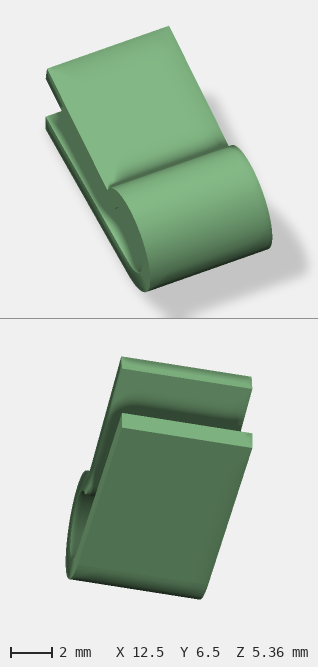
import cadquery as cq
import math

length = 12.47
width = 6.5
thickness = 1.0
loop_outer_radius = 2.68
bend_inner_radius = 0.05
arm_slope = 9.5
bend_position = 25.0

loop_inner_radius = loop_outer_radius - thickness
bend_outer_radius = bend_inner_radius + thickness
loop_center = (length - loop_outer_radius, loop_outer_radius)


def polar(center, radius, angle):
    """Point at a radius and an angle in degrees from a center."""
    turn = math.radians(angle)
    return (center[0] + radius * math.cos(turn), center[1] + radius * math.sin(turn))


loop_end_angle = 180 - bend_position
bend_center = polar(loop_center, loop_outer_radius + bend_inner_radius, loop_end_angle)
bend_loop_angle = -bend_position
bend_arm_angle = -90 - arm_slope
bend_middle_angle = (bend_loop_angle + bend_arm_angle) / 2
loop_middle_angle = (loop_end_angle - 90) / 2

arm_bottom = polar(bend_center, bend_outer_radius, bend_arm_angle)
arm_top = polar(bend_center, bend_inner_radius, bend_arm_angle)
arm_length = arm_bottom[0] / math.cos(math.radians(arm_slope))
arm_direction = 180 - arm_slope

profile = (
    cq.Workplane("XZ")
    .moveTo(0, 0)
    .lineTo(loop_center[0], 0)
    .threePointArc(
        polar(loop_center, loop_outer_radius, loop_middle_angle),
        polar(loop_center, loop_outer_radius, loop_end_angle),
    )
    .threePointArc(polar(bend_center, bend_inner_radius, bend_middle_angle), arm_top)
    .lineTo(*polar(arm_top, arm_length, arm_direction))
    .lineTo(*polar(arm_bottom, arm_length, arm_direction))
    .lineTo(*arm_bottom)
    .threePointArc(
        polar(bend_center, bend_outer_radius, bend_middle_angle),
        polar(loop_center, loop_inner_radius, loop_end_angle),
    )
    .threePointArc(
        polar(loop_center, loop_inner_radius, loop_middle_angle),
        (loop_center[0], thickness),
    )
    .lineTo(0, thickness)
    .close()
)

result = profile.extrude(width / 2, both=True)